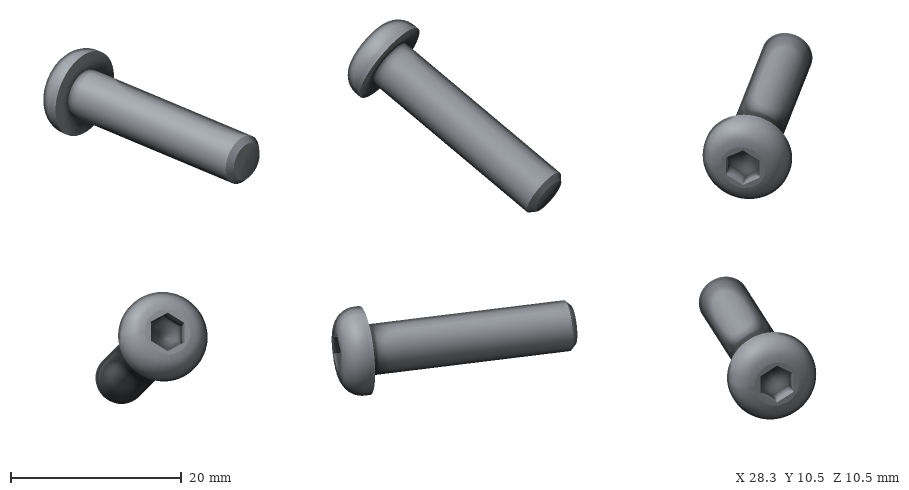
import cadquery as cq
import math

total_length = 28.3
head_radius = 10.5 / 2
head_height = 3.3
rim_width = 0.68
face_radius = 2.7
shank_radius = 6.0 / 2
tip_chamfer = 0.68

socket_across_flats = 4.0
socket_depth = 2.1
socket_cone_angle = 120.0

dome_length = head_height - rim_width
dome_drop = head_radius - face_radius
dome_radius = (dome_length**2 + dome_drop**2) / (2 * dome_drop)
dome_half_angle = math.asin(dome_length / dome_radius) / 2
dome_middle = (
    dome_length - dome_radius * math.sin(dome_half_angle),
    head_radius - dome_radius * (1 - math.cos(dome_half_angle)),
)


def make_body():
    """Revolve the head and shank half-profile about the X axis."""
    return (
        cq.Workplane("XY")
        .lineTo(0, face_radius)
        .threePointArc(dome_middle, (dome_length, head_radius))
        .lineTo(head_height, head_radius)
        .lineTo(head_height, shank_radius)
        .lineTo(total_length - tip_chamfer, shank_radius)
        .lineTo(total_length, shank_radius - tip_chamfer)
        .lineTo(total_length, 0)
        .close()
        .revolve(360, (0, 0, 0), (1, 0, 0))
    )


def make_socket():
    """Hexagonal recess with corners on Z and a conical floor reaching the corners."""
    flat_radius = socket_across_flats / 2
    corner_radius = flat_radius / math.cos(math.pi / 6)
    corners = [
        (corner_radius * math.sin(i * math.pi / 3), corner_radius * math.cos(i * math.pi / 3))
        for i in range(6)
    ]
    cone_depth = corner_radius / math.tan(math.radians(socket_cone_angle / 2))
    tip_depth = socket_depth + cone_depth
    hexagon = cq.Workplane("YZ").polyline(corners).close().extrude(tip_depth)
    pointed_drill = (
        cq.Workplane("XY")
        .lineTo(0, face_radius)
        .lineTo(socket_depth, face_radius)
        .lineTo(socket_depth, corner_radius)
        .lineTo(tip_depth, 0)
        .close()
        .revolve(360, (0, 0, 0), (1, 0, 0))
    )
    return hexagon.intersect(pointed_drill)


result = make_body().cut(make_socket())